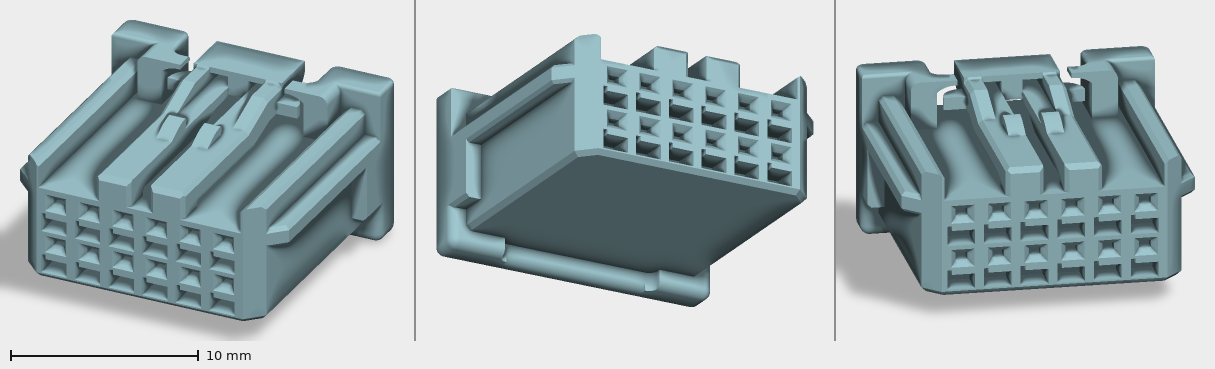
import cadquery as cq

WIDTH = 15.9
LENGTH = 15.0
HEIGHT = 9.1

CORE_HALF = 7.05
NOSE_HALF = 6.1
CORE_BOTTOM = 1.03
CORE_BOTTOM_CHAMFER = 0.27
DECK_Z = 6.44
WALL_TOP = 7.89
WALL_INNER_HALF = 5.96
WALL_OUTER_CHAMFER = 0.2
WALL_INNER_CHAMFER = (0.27, 0.17)

RIB_BOTTOM = 5.33
RIB_MIDDLE = (RIB_BOTTOM + DECK_Z) / 2
RIB_TOP_CHAMFER = 0.22
RIB_BOTTOM_CHAMFER = 0.17

FLANGE_Y = 12.97
FLANGE_FILLET = 0.5
FLANGE_TOP_FILLET = 0.4 / 2
FOOT_RECESS = 0.73
RECESS_HALF = 4.69
SHOULDER_Y = 11.32
SHOULDER_BOTTOM = 2.21
SHOULDER_CHAMFER = 0.2
ARM_OUTER_X = 5.61
ARM_INNER_X = 4.2
LIP_TIP_X = 3.08
LIP_BACK_Y = 12.5
LIP_BOTTOM = 8.81
LIP_ARC_X = 3.23
LIP_CORNER_RADIUS = 0.67
LARGE_RADIUS = 3.0 / 2

LATCH_HALF = 2.6
GAP_HALF = 0.57
BEAM_TOP = 8.0
BEAM_BOTTOM = 6.88
BEAM_REAR_BOTTOM = 7.45
ROOT_LENGTH = 1.62
ROOT_FILLET = 0.4 / 2
BEAM_RISE_Y = (8.59, 10.5)
BEAM_FRONT_CHAMFER = 0.29
BEAM_SIDE_CHAMFER = 0.22
RAIL_INNER_X = 1.67
RAIL_TOP = 8.85
RAIL_RISE_Y = (7.9, 10.27)
HANDLE_Y = (11.99, 14.8)
HANDLE_OVERLAP = 0.16
HANDLE_TOP = 8.98
HANDLE_BACK_Z = 8.35
POST_BOTTOM = 7.57
HANDLE_PLATE_BOTTOM = 8.65
TAB_TIP_X = 3.83
TAB_BACK_Y = 12.62
TAB_TOP = 8.14
HOOK_OUTER_X = 1.51
HOOK_RAMP_START = (5.12, BEAM_TOP)
HOOK_RAMP_END = (5.74, 8.33)
HOOK_CROWN = (6.28, 8.54)
HOOK_PEAK = (6.73, 8.62)
HOOK_NOSE = (6.85, 8.57)
HOOK_NOSE_END = (6.88, 8.46)
HOOK_HEEL = (6.8, BEAM_TOP)

COLUMNS = 6
ROWS = 2
COLUMN_PITCH = 1.99
ROW_PITCH = 2.48
SOCKET_TOP_ROW_Z = 5.61
SOCKET_MOUTH = (1.25, 1.0)
SOCKET_THROAT = (0.64, 0.38)
SOCKET_TAPER_DEPTH = 0.4
SOCKET_THROAT_DEPTH = 0.95
KEYWAY_LEFT = -0.85
KEYWAY_SIZE = (1.5, 0.85)
KEYWAY_NOTCH = (0.25, 0.25)
KEYWAY_DROP = 1.75
KEYWAY_DEPTH = 1.59


def box(x_range, y_range, z_range):
    """Box between two limits on each axis."""
    size = [limits[1] - limits[0] for limits in (x_range, y_range, z_range)]
    corner = (x_range[0], y_range[0], z_range[0])
    return cq.Workplane("XY").box(*size, centered=False).translate(corner)


def both_sides(body):
    """A body on the +X side together with its mirror image."""
    return body.union(body.mirror("YZ"))


def side_profile(x_start):
    """Plane at x_start whose local axes are Y and Z; extrusion goes toward +X."""
    return cq.Workplane("YZ", origin=(x_start, 0, 0))


def plan_prism(half_width, y_end, z_range):
    """Prism with 45 degree corners beside the mating face."""
    corner = half_width - NOSE_HALF
    outline = [
        (-half_width, y_end),
        (-half_width, corner),
        (-NOSE_HALF, 0),
        (NOSE_HALF, 0),
        (half_width, corner),
        (half_width, y_end),
    ]
    base = cq.Workplane("XY").workplane(offset=z_range[0])
    return base.polyline(outline).close().extrude(z_range[1] - z_range[0])


def housing():
    """Core block whose deck lies between two raised side walls."""
    core = plan_prism(CORE_HALF, LENGTH, (CORE_BOTTOM, WALL_TOP))
    core = core.faces("<Z").edges().chamfer(CORE_BOTTOM_CHAMFER)
    dx, dz = WALL_INNER_CHAMFER
    channel = [
        (0, DECK_Z),
        (WALL_INNER_HALF, DECK_Z),
        (WALL_INNER_HALF, WALL_TOP - dz),
        (WALL_INNER_HALF + dx, WALL_TOP),
        (0, WALL_TOP),
    ]
    outer_bevel = [
        (CORE_HALF - WALL_OUTER_CHAMFER, WALL_TOP),
        (CORE_HALF, WALL_TOP),
        (CORE_HALF, WALL_TOP - WALL_OUTER_CHAMFER),
    ]
    for outline in (channel, outer_bevel):
        cutter = cq.Workplane("XZ").polyline(outline).close().extrude(-LENGTH)
        core = core.cut(both_sides(cutter))
    behind_walls = box((-WIDTH / 2, WIDTH / 2), (FLANGE_Y, LENGTH), (DECK_Z, WALL_TOP))
    ribs = plan_prism(WIDTH / 2, LENGTH - FLANGE_FILLET, (RIB_BOTTOM, DECK_Z))
    ribs = ribs.faces(">Z").edges().chamfer(RIB_TOP_CHAMFER)
    ribs = ribs.faces("<Z").edges().chamfer(RIB_BOTTOM_CHAMFER)
    return core.cut(behind_walls).union(ribs)


def lower_flange():
    """Rear flange up to the deck; its foot is set back in the middle."""
    half = WIDTH / 2
    flange = box((-half, half), (FLANGE_Y, LENGTH), (0, DECK_Z))
    flange = flange.edges("|Z").fillet(FLANGE_FILLET)
    recess = box((-RECESS_HALF, RECESS_HALF), (FLANGE_Y, FLANGE_Y + FOOT_RECESS), (0, CORE_BOTTOM))
    recess = recess.edges("|Z and >Y").fillet(FLANGE_FILLET)
    floor_y = FLANGE_Y + FOOT_RECESS
    floor_half = RECESS_HALF - FLANGE_FILLET
    floor_edge = (
        side_profile(-floor_half)
        .moveTo(floor_y, 0)
        .lineTo(floor_y, FLANGE_FILLET)
        .radiusArc((floor_y + FLANGE_FILLET, 0), -FLANGE_FILLET)
        .close()
        .extrude(2 * floor_half)
    )
    flange = flange.faces("<Z").edges().fillet(FLANGE_FILLET)
    flange = flange.cut(recess).cut(floor_edge)
    shoulder = box((0, half), (SHOULDER_Y, LENGTH - FLANGE_FILLET), (SHOULDER_BOTTOM, RIB_MIDDLE))
    shoulder = shoulder.edges(">X and <Z").chamfer(SHOULDER_CHAMFER)
    upright = box((0, half), (FLANGE_Y, LENGTH - FLANGE_FILLET), (RIB_MIDDLE, DECK_Z))
    return flange.union(both_sides(shoulder.union(upright)))


def upper_flange():
    """Flange blocks above the deck, each with an arm and a lip reaching toward the latch."""
    arm_flat_x = ARM_OUTER_X - FLANGE_FILLET
    outline = [
        (LIP_TIP_X, SHOULDER_Y),
        (arm_flat_x, SHOULDER_Y),
        (arm_flat_x, FLANGE_Y),
        (WIDTH / 2, FLANGE_Y),
        (WIDTH / 2, LENGTH),
        (ARM_INNER_X, LENGTH),
        (ARM_INNER_X, LIP_BACK_Y),
        (LIP_TIP_X, LIP_BACK_Y),
    ]
    block = cq.Workplane("XY").workplane(offset=DECK_Z).polyline(outline).close().extrude(HEIGHT - DECK_Z)
    block = block.edges("|Z and >Y").fillet(FLANGE_FILLET)
    inner_corner = cq.selectors.NearestToPointSelector((ARM_INNER_X, LIP_BACK_Y, (DECK_Z + HEIGHT) / 2))
    block = block.edges(inner_corner).fillet(LIP_CORNER_RADIUS)
    flange_front = cq.selectors.NearestToPointSelector(((arm_flat_x + WIDTH / 2) / 2, FLANGE_Y, HEIGHT))
    lip_back = cq.selectors.NearestToPointSelector((LIP_TIP_X, LIP_BACK_Y, HEIGHT))
    rounded = cq.selectors.SumSelector(flange_front, lip_back)
    block = block.edges(rounded).fillet(FLANGE_TOP_FILLET)

    arm_side_x = (ARM_INNER_X + FLANGE_FILLET, ARM_OUTER_X)
    arm_side = box(arm_side_x, (SHOULDER_Y, LENGTH - FLANGE_FILLET), (DECK_Z, HEIGHT))
    arm_side = arm_side.edges("|Y and >X and >Z").fillet(FLANGE_FILLET)

    arc_drop = LARGE_RADIUS - (LARGE_RADIUS**2 - (ARM_INNER_X - LIP_ARC_X) ** 2) ** 0.5
    under_lip = (
        cq.Workplane("XZ")
        .moveTo(LIP_TIP_X, DECK_Z)
        .lineTo(LIP_TIP_X, LIP_BOTTOM)
        .lineTo(LIP_ARC_X, LIP_BOTTOM)
        .radiusArc((ARM_INNER_X, LIP_BOTTOM - arc_drop), LARGE_RADIUS)
        .lineTo(ARM_INNER_X, DECK_Z)
        .close()
        .extrude(-LIP_BACK_Y - LIP_CORNER_RADIUS)
    )
    return both_sides(block.union(arm_side).cut(under_lip))


def latch_beam():
    """One cantilever beam on the +X side, rooted beside the mating face, with its raised rail."""
    width = LATCH_HALF - GAP_HALF
    rise_start, rise_end = BEAM_RISE_Y
    beam = (
        side_profile(GAP_HALF)
        .polyline([
            (0, DECK_Z),
            (0, BEAM_TOP),
            (HANDLE_Y[0] + HANDLE_OVERLAP, BEAM_TOP),
            (HANDLE_Y[0] + HANDLE_OVERLAP, BEAM_REAR_BOTTOM),
            (rise_end, BEAM_REAR_BOTTOM),
            (rise_start, BEAM_BOTTOM),
            (ROOT_LENGTH, BEAM_BOTTOM),
            (ROOT_LENGTH, DECK_Z),
        ])
        .close()
        .extrude(width)
    )
    root_corner = cq.selectors.NearestToPointSelector((GAP_HALF + width / 2, ROOT_LENGTH, BEAM_BOTTOM))
    beam = beam.edges(root_corner).fillet(ROOT_FILLET)
    beam = beam.edges("|Z and <Y").chamfer(BEAM_SIDE_CHAMFER)
    beam = beam.edges(">Z and <Y").chamfer(BEAM_FRONT_CHAMFER)
    rail_step = HANDLE_TOP - RAIL_TOP
    rail = (
        side_profile(RAIL_INNER_X)
        .polyline([
            (BEAM_FRONT_CHAMFER, BEAM_REAR_BOTTOM),
            (BEAM_FRONT_CHAMFER, BEAM_TOP),
            (RAIL_RISE_Y[0], BEAM_TOP),
            (RAIL_RISE_Y[1], RAIL_TOP),
            (HANDLE_Y[0] - rail_step, RAIL_TOP),
            (HANDLE_Y[0], HANDLE_TOP),
            (HANDLE_Y[0] + HANDLE_OVERLAP, HANDLE_TOP),
            (HANDLE_Y[0] + HANDLE_OVERLAP, BEAM_REAR_BOTTOM),
            (rise_end, BEAM_REAR_BOTTOM),
        ])
        .close()
        .extrude(LATCH_HALF - RAIL_INNER_X)
    )
    beam = beam.union(rail)
    outer_top_edges = [
        beam.edges(cq.selectors.NearestToPointSelector((LATCH_HALF, y, z))).val()
        for y, z in (
            (RAIL_RISE_Y[0] / 2, BEAM_TOP),
            (sum(RAIL_RISE_Y) / 2, (BEAM_TOP + RAIL_TOP) / 2),
            ((RAIL_RISE_Y[1] + HANDLE_Y[0]) / 2, RAIL_TOP),
            (HANDLE_Y[0] - rail_step / 2, (RAIL_TOP + HANDLE_TOP) / 2),
        )
    ]
    return beam.newObject(outer_top_edges).chamfer(BEAM_SIDE_CHAMFER)


def latch_hook():
    """Catch on top of a beam, ramped toward the mating face and steep behind."""
    return (
        side_profile(GAP_HALF)
        .moveTo(*HOOK_RAMP_START)
        .lineTo(*HOOK_RAMP_END)
        .threePointArc(HOOK_CROWN, HOOK_PEAK)
        .threePointArc(HOOK_NOSE, HOOK_NOSE_END)
        .lineTo(*HOOK_HEEL)
        .close()
        .extrude(HOOK_OUTER_X - GAP_HALF)
    )


def latch_tab():
    """Side tab below the lip, rounded at the back."""
    radius = TAB_TIP_X - LATCH_HALF
    return (
        cq.Workplane("XY")
        .workplane(offset=BEAM_REAR_BOTTOM)
        .moveTo(RAIL_INNER_X, SHOULDER_Y)
        .lineTo(TAB_TIP_X, SHOULDER_Y)
        .lineTo(TAB_TIP_X, TAB_BACK_Y - radius)
        .radiusArc((LATCH_HALF, TAB_BACK_Y), -radius)
        .lineTo(RAIL_INNER_X, TAB_BACK_Y)
        .close()
        .extrude(TAB_TOP - BEAM_REAR_BOTTOM)
    )


def latch_handle():
    """Press plate joining the beams, rounded underneath, with a window on each side of its post."""
    front, back = HANDLE_Y
    rise = HANDLE_BACK_Z - BEAM_REAR_BOTTOM
    round_run = (2 * LARGE_RADIUS * rise - rise**2) ** 0.5
    handle = (
        side_profile(-LATCH_HALF)
        .moveTo(front, HANDLE_TOP)
        .lineTo(back, HANDLE_TOP)
        .lineTo(back, HANDLE_BACK_Z)
        .radiusArc((back - round_run, BEAM_REAR_BOTTOM), LARGE_RADIUS)
        .lineTo(front, BEAM_REAR_BOTTOM)
        .close()
        .extrude(2 * LATCH_HALF)
    )
    window = box((GAP_HALF, RAIL_INNER_X), HANDLE_Y, (BEAM_TOP, HANDLE_PLATE_BOTTOM))
    post_relief = box((-GAP_HALF, GAP_HALF), HANDLE_Y, (BEAM_REAR_BOTTOM, POST_BOTTOM))
    return handle.cut(both_sides(window)).cut(post_relief)


def contact_cutter():
    """Socket and keyway cutter around a socket centre at the origin."""
    socket = (
        cq.Workplane("XZ")
        .rect(*SOCKET_MOUTH)
        .workplane(offset=-SOCKET_TAPER_DEPTH)
        .rect(*SOCKET_THROAT)
        .loft(ruled=True)
    )
    throat = cq.Workplane("XZ").rect(*SOCKET_THROAT).extrude(-SOCKET_THROAT_DEPTH)
    width, height = KEYWAY_SIZE
    notch_width, notch_height = KEYWAY_NOTCH
    left, floor = KEYWAY_LEFT, -KEYWAY_DROP
    depth = (0, KEYWAY_DEPTH)
    keyway = box((left, left + width), depth, (floor, floor + height))
    notch = box((left, left + notch_width), depth, (floor, floor + height + notch_height))
    return socket.union(throat).union(keyway).union(notch)


def sockets_and_keyways():
    """Cutters for every contact position: a funnel-shaped socket and the keyway below it."""
    cutters = cq.Workplane("XZ")
    cutter = contact_cutter()
    for column in range(COLUMNS):
        x = (column - (COLUMNS - 1) / 2) * COLUMN_PITCH
        for row in range(ROWS):
            z = SOCKET_TOP_ROW_Z - row * ROW_PITCH
            cutters = cutters.union(cutter.translate((x, 0, z)))
    return cutters


latch_side = latch_beam().union(latch_hook()).union(latch_tab())
latch = both_sides(latch_side).union(latch_handle())
frame = housing().union(lower_flange()).union(upper_flange())
result = frame.union(latch).cut(sockets_and_keyways())